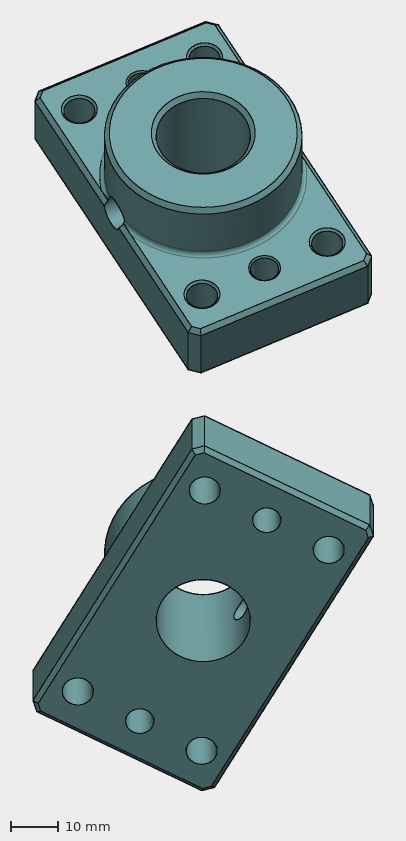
import cadquery as cq

plate_length = 74
plate_width = 44.0
plate_height = 15.0
corner_chamfer = 2.0
edge_chamfer = 1.0

boss_height = 14.95
boss_diameter = plate_width - 2 * edge_chamfer
bore_diameter = 20
fillet_radius = 1.0

hole_row_x = 28.0
hole_pitch_y = 15.0
outer_hole_diameter = 6.6
outer_hole_chamfer = 0.5
middle_hole_diameter = 6.0
middle_hole_chamfer = 0.4

radial_hole_diameter = 7.0

total_height = plate_height + boss_height


def chamfered_hole(x, y, top, diameter, chamfer):
    """Cutter for a vertical through hole with a 45 degree chamfer at its top end."""
    radius = diameter / 2
    mouth = radius + chamfer
    profile = [
        (0, 0),
        (radius, 0),
        (radius, top - chamfer),
        (mouth, top),
        (0, top),
    ]
    cutter = cq.Workplane("XZ").polyline(profile).close().revolve(360, (0, 0), (0, 1))
    return cutter.translate((x, y, 0))


def make_plate():
    plate = cq.Workplane("XY").box(plate_length, plate_width, plate_height, centered=(True, True, False))
    plate = plate.edges("|Z").chamfer(corner_chamfer)
    return plate.faces("<Z or >Z").edges().chamfer(edge_chamfer)


def make_boss():
    """Boss with a chamfered top and a concave fillet flaring out onto the plate."""
    radius = boss_diameter / 2
    foot = radius + fillet_radius
    profile = (
        cq.Workplane("XZ")
        .moveTo(0, edge_chamfer)
        .lineTo(radius, edge_chamfer)
        .lineTo(radius, plate_height)
        .lineTo(foot, plate_height)
        .radiusArc((radius, plate_height + fillet_radius), fillet_radius)
        .lineTo(radius, total_height - edge_chamfer)
        .lineTo(radius - edge_chamfer, total_height)
        .lineTo(0, total_height)
        .close()
    )
    boss = profile.revolve(360, (0, 0), (0, 1))
    plate_top_width = plate_width - 2 * edge_chamfer
    trim = cq.Workplane("XY").box(plate_length, plate_top_width, total_height, centered=(True, True, False))
    return boss.intersect(trim)


def make_radial_hole():
    """Cutter from the -Y side face to the middle of the bore."""
    front = cq.Workplane("XZ", origin=(0, 0, plate_height))
    return front.circle(radial_hole_diameter / 2).extrude(plate_width / 2)


result = make_plate().union(make_boss())
result = result.cut(chamfered_hole(0, 0, total_height, bore_diameter, edge_chamfer))
for x in (-hole_row_x, hole_row_x):
    result = result.cut(chamfered_hole(x, 0, plate_height, middle_hole_diameter, middle_hole_chamfer))
    for y in (-hole_pitch_y, hole_pitch_y):
        result = result.cut(chamfered_hole(x, y, plate_height, outer_hole_diameter, outer_hole_chamfer))
result = result.cut(make_radial_hole())